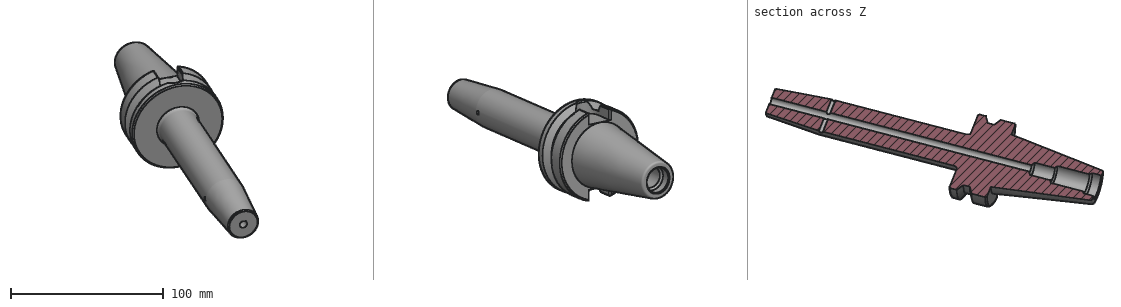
import cadquery as cq
import math


gauge_radius = 44.45 / 2
taper_length = 65.4
taper_slope = 3.5 / 24
taper_end_radius = gauge_radius - taper_slope * taper_length
taper_end_round = 1.5

flange_radius = 63.0 / 2
flange_start_x = 1.0
flange_end_x = 27.0
flange_chamfer = 1.0
groove_center_x = 16.5
groove_floor_radius = 53.0 / 2
groove_floor_width = 4.3
groove_flank_angle = math.radians(30)
groove_flank_run = (flange_radius - groove_floor_radius) * math.tan(groove_flank_angle)
groove_floor_start_x = groove_center_x - groove_floor_width / 2
groove_floor_end_x = groove_center_x + groove_floor_width / 2

slot_width = 16.1
slot_end_x = 22.4
slot_floor_height = 22.5
slot_chamfer = 1.0

holder_length = 160.0
neck_radius = 27.0 / 2
neck_fillet_length = 2.8
neck_fillet_height = 1.2
nose_radius = 21.0 / 2
nose_length = 37.0
nose_chamfer = 0.8
nose_start_x = holder_length - nose_length
nose_slope = (neck_radius - nose_radius) / nose_length

mouth_radius = 18.4 / 2
socket_radius = 17.0 / 2
socket_depth = 6.5
core_radius = 14.0 / 2
core_depth = 30.0
relief_radius = 10.0 / 2
relief_depth = 45.0
through_radius = 5.0 / 2
drill_tip_slope = math.tan(math.radians(30))

cross_hole_diameter = 2.5
cross_hole_x = 120.8


def neck_fillet_middle():
    """Middle point of the arc that leaves the flange face and runs out tangent to the neck."""
    fillet_radius = (neck_fillet_length**2 + neck_fillet_height**2) / (2 * neck_fillet_height)
    half_sweep = math.asin(neck_fillet_length / fillet_radius) / 2
    return (
        flange_end_x + neck_fillet_length - fillet_radius * math.sin(half_sweep),
        neck_radius + fillet_radius * (1 - math.cos(half_sweep)),
    )


def make_body():
    """Revolve the outer profile, drawn as (x, radius), about the X axis."""
    fillet_end_x = flange_end_x + neck_fillet_length
    fillet_start_radius = neck_radius + neck_fillet_height
    nose_rim_radius = nose_radius + nose_chamfer * nose_slope
    profile = (
        cq.Workplane("XY")
        .moveTo(-taper_length, 0)
        .lineTo(-taper_length, taper_end_radius)
        .lineTo(flange_start_x, gauge_radius + taper_slope * flange_start_x)
        .lineTo(flange_start_x, flange_radius - flange_chamfer)
        .lineTo(flange_start_x + flange_chamfer, flange_radius)
        .lineTo(groove_floor_start_x - groove_flank_run, flange_radius)
        .lineTo(groove_floor_start_x, groove_floor_radius)
        .lineTo(groove_floor_end_x, groove_floor_radius)
        .lineTo(groove_floor_end_x + groove_flank_run, flange_radius)
        .lineTo(flange_end_x - flange_chamfer, flange_radius)
        .lineTo(flange_end_x, flange_radius - flange_chamfer)
        .lineTo(flange_end_x, fillet_start_radius)
        .threePointArc(neck_fillet_middle(), (fillet_end_x, neck_radius))
        .lineTo(nose_start_x, neck_radius)
        .lineTo(holder_length - nose_chamfer, nose_rim_radius)
        .lineTo(holder_length, nose_radius - nose_chamfer)
        .lineTo(holder_length, 0)
        .close()
    )
    body = profile.revolve(360, (0, 0, 0), (1, 0, 0))
    return body.faces("<X").edges().fillet(taper_end_round)


def make_bore():
    """Revolved void: chamfered mouth, socket, core hole, relief and through hole."""
    socket_end_x = -taper_length + socket_depth
    core_end_x = -taper_length + core_depth
    relief_end_x = -taper_length + relief_depth
    profile = (
        cq.Workplane("XY")
        .moveTo(-taper_length, 0)
        .lineTo(-taper_length, mouth_radius)
        .lineTo(-taper_length + mouth_radius - socket_radius, socket_radius)
        .lineTo(socket_end_x, socket_radius)
        .lineTo(socket_end_x + socket_radius - core_radius, core_radius)
        .lineTo(core_end_x, core_radius)
        .lineTo(core_end_x + drill_tip_slope * (core_radius - relief_radius), relief_radius)
        .lineTo(relief_end_x, relief_radius)
        .lineTo(relief_end_x + drill_tip_slope * (relief_radius - through_radius), through_radius)
        .lineTo(holder_length, through_radius)
        .lineTo(holder_length, 0)
        .close()
    )
    return profile.revolve(360, (0, 0, 0), (1, 0, 0))


def make_drive_slot():
    """Round-ended slot void on the +Z side, open toward the taper with flared mouth corners."""
    half_width = slot_width / 2
    end_center_x = slot_end_x - half_width
    mouth_half_width = half_width + slot_chamfer
    return (
        cq.Workplane("XY", origin=(0, 0, slot_floor_height))
        .moveTo(flange_start_x, -mouth_half_width)
        .lineTo(flange_start_x + slot_chamfer, -half_width)
        .lineTo(end_center_x, -half_width)
        .threePointArc((slot_end_x, 0), (end_center_x, half_width))
        .lineTo(flange_start_x + slot_chamfer, half_width)
        .lineTo(flange_start_x, mouth_half_width)
        .close()
        .extrude(flange_radius)
    )


def make_wall_rim_chamfer():
    """Flared void along the slot that bevels the outer edges of its straight walls."""
    half_width = slot_width / 2
    bevel_start_height = math.sqrt(flange_radius**2 - half_width**2) - slot_chamfer
    flare = flange_radius - bevel_start_height
    return (
        cq.Workplane("YZ", origin=(flange_start_x, 0, 0))
        .moveTo(-half_width, bevel_start_height)
        .lineTo(half_width, bevel_start_height)
        .lineTo(half_width + flare, flange_radius)
        .lineTo(-half_width - flare, flange_radius)
        .close()
        .extrude(groove_center_x - flange_start_x)
    )


def make_end_rim_chamfer():
    """Conical void that bevels the outer edge of the round slot end."""
    half_width = slot_width / 2
    cone = cq.Solid.makeCone(
        half_width,
        half_width + slot_chamfer,
        slot_chamfer,
        pnt=cq.Vector(slot_end_x - half_width, 0, flange_radius - slot_chamfer),
        dir=cq.Vector(0, 0, 1),
    )
    return cq.Workplane(cone)


def cut_drive_slots(body):
    """Cut the bevelled slot on the +Z side and its twin on the -Z side."""
    for cutter in (make_drive_slot(), make_wall_rim_chamfer(), make_end_rim_chamfer()):
        for turn in (0, 180):
            body = body.cut(cutter.rotate((0, 0, 0), (1, 0, 0), turn))
    return body


def make_cross_hole():
    """Small hole through the holder along Y."""
    return (
        cq.Workplane("XZ")
        .center(cross_hole_x, 0)
        .circle(cross_hole_diameter / 2)
        .extrude(2 * neck_radius, both=True)
    )


result = cut_drive_slots(make_body()).cut(make_bore()).cut(make_cross_hole())